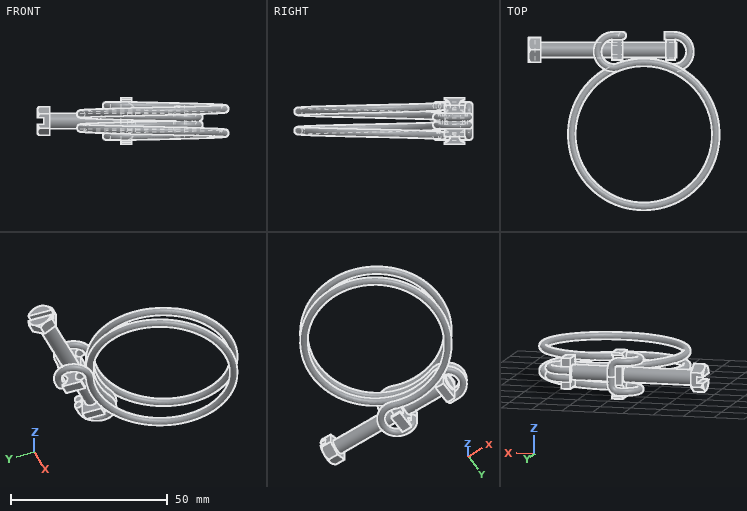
import cadquery as cq
import math


wire_radius = 1.25
ring_radius = 23.0
hook_radius = 5.12
link_length = 0.4
bridge_bend_radius = 2.25
inner_wire_z = wire_radius
outer_wire_z = 4.88
hook_top_y = 31.54
bridge_x = -6.85
right_wire_end_x = 6.6

screw_diameter = 5.0
head_across_flats = 8.0
head_length = 4.0
head_chamfer = 0.62
slot_width = 2.0
slot_depth = 2.0
head_end_x = -36.88
screw_tip_x = 10.5

block_gap = 0.04
block_width = 6.5
left_block_start_x = -10.15
left_block_length = 3.5
left_block_height = 15.0
right_block_start_x = 7.05
right_block_length = 3.0
right_block_height = 10.0
groove_radius = 1.85

screw_y = hook_top_y - wire_radius - block_gap - block_width / 2
hook_y = hook_top_y - hook_radius
tangent_distance = ring_radius + hook_radius
centre_distance = math.hypot(tangent_distance, link_length)
hook_x = math.sqrt(centre_distance**2 - hook_y**2)
link_turn = math.atan2(link_length, tangent_distance)
join_angle = math.atan2(hook_y, hook_x) + link_turn
ring_sweep = 360 + 2 * (90 - math.degrees(join_angle))
ring_drop = outer_wire_z - inner_wire_z


def sweep_wire(edges):
    """Round wire along connected centreline edges, with its start face upright to meet the next piece."""
    path = cq.Wire.assembleEdges(edges)
    start_direction = path.tangentAt(0)
    upright_plane = cq.Plane(path.startPoint(), normal=(start_direction.x, start_direction.y, 0))
    return cq.Workplane(upright_plane).circle(wire_radius).sweep(cq.Workplane(path), isFrenet=True)


def hook_edges(side, height):
    """Link and hook centreline from the ring up to the hook top; side is -1 left, +1 right."""
    outward_x = side * math.cos(join_angle)
    outward_y = math.sin(join_angle)
    ring_end = cq.Vector(outward_x, outward_y, 0) * ring_radius + cq.Vector(0, 0, height)
    link_end = ring_end + cq.Vector(side * outward_y, -side * outward_x, 0) * link_length
    outermost = cq.Vector(side * (hook_x + hook_radius), hook_y, height)
    top = cq.Vector(side * hook_x, hook_top_y, height)
    return [
        cq.Edge.makeLine(ring_end, link_end),
        cq.Edge.makeThreePointArc(link_end, outermost, top),
    ]


def make_ring(level):
    """Clamping turn from the left hook clockwise to the right hook; level is +1 upper, -1 lower."""
    is_lower = level < 0
    start_angle = math.pi - join_angle if is_lower else join_angle
    start_z = -outer_wire_z if is_lower else inner_wire_z
    helix = cq.Wire.makeHelix(ring_drop * 360 / ring_sweep, ring_drop, ring_radius, lefthand=is_lower)
    helix = helix.rotate(cq.Vector(), cq.Vector(0, 0, 1), math.degrees(start_angle))
    return sweep_wire(helix.translate(cq.Vector(0, 0, start_z)).Edges())


def make_left_hook():
    """Left hook with its bend into half of the bridge that crosses to the other wire."""
    hook_top = cq.Vector(-hook_x, hook_top_y, outer_wire_z)
    bend_start = cq.Vector(bridge_x - bridge_bend_radius, hook_top_y, outer_wire_z)
    bend_end = cq.Vector(bridge_x, hook_top_y, outer_wire_z - bridge_bend_radius)
    bridge_middle = cq.Vector(bridge_x, hook_top_y, 0)
    return sweep_wire(
        hook_edges(-1, outer_wire_z)
        + [
            cq.Edge.makeLine(hook_top, bend_start),
            cq.Edge.makeTangentArc(bend_start, cq.Vector(1, 0, 0), bend_end),
            cq.Edge.makeLine(bend_end, bridge_middle),
        ]
    )


def make_right_hook():
    """Right hook that ends in a straight over the right block."""
    hook_top = cq.Vector(hook_x, hook_top_y, inner_wire_z)
    wire_end = cq.Vector(right_wire_end_x, hook_top_y, inner_wire_z)
    return sweep_wire(hook_edges(1, inner_wire_z) + [cq.Edge.makeLine(hook_top, wire_end)])


def make_wire(level):
    """One of the two mirrored wires; level is +1 upper, -1 lower."""
    left_hook = make_left_hook()
    right_hook = make_right_hook()
    if level < 0:
        left_hook = left_hook.mirror("XY")
        right_hook = right_hook.mirror("XY")
    return left_hook.union(make_ring(level)).union(right_hook)


def make_block(start_x, length, height):
    """Block along X with a bore for the screw."""
    return (
        cq.Workplane("YZ", origin=(start_x, screw_y, 0))
        .rect(block_width, height)
        .circle(screw_diameter / 2)
        .extrude(length)
    )


def make_left_block():
    grooves = (
        cq.Workplane("YZ", origin=(left_block_start_x, screw_y, 0))
        .rect(block_width, 2 * outer_wire_z, forConstruction=True)
        .vertices()
        .circle(groove_radius)
        .extrude(left_block_length)
    )
    return make_block(left_block_start_x, left_block_length, left_block_height).cut(grooves)


def make_screw():
    axis_plane = cq.Workplane("YZ", origin=(head_end_x, screw_y, 0))
    head_across_corners = head_across_flats / math.cos(math.radians(30))
    head = axis_plane.transformed(rotate=(0, 0, 90)).polygon(6, head_across_corners).extrude(head_length)
    chamfered_disc = (
        axis_plane.circle(head_across_flats / 2 + head_chamfer)
        .extrude(head_length)
        .faces("<X")
        .chamfer(head_chamfer)
    )
    shank = axis_plane.circle(screw_diameter / 2).extrude(screw_tip_x - head_end_x)
    slot = cq.Workplane("XY").box(2 * slot_depth, 2 * head_across_flats, slot_width)
    slot = slot.translate((head_end_x, screw_y, 0))
    return head.intersect(chamfered_disc).union(shank).cut(slot)


screw = make_screw()
left_block = make_left_block()
right_block = make_block(right_block_start_x, right_block_length, right_block_height)
wires = [make_wire(level) for level in (1, -1)]

result = cq.Compound.makeCompound(
    [screw.val(), left_block.val(), right_block.val(), *[wire.val() for wire in wires]]
)